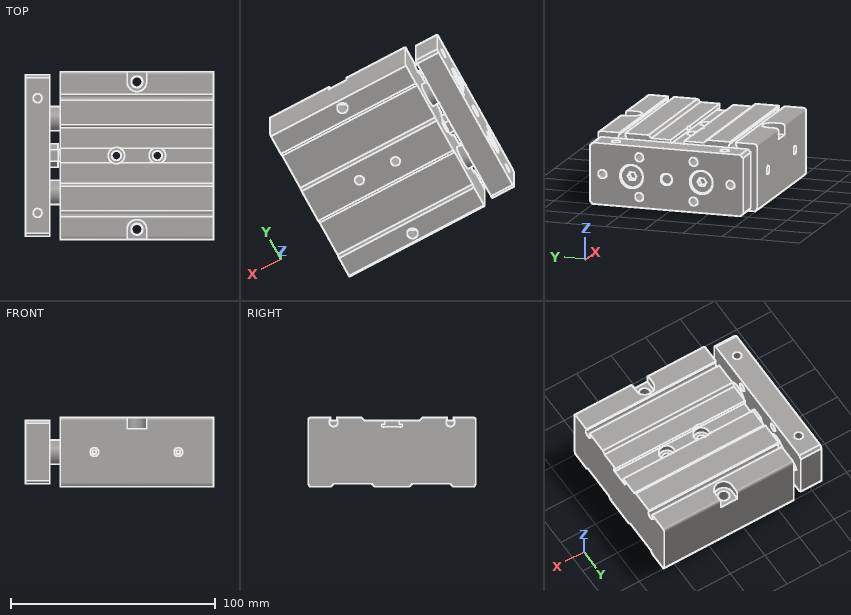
import cadquery as cq
import math


EXTRA = 1.0

plate_thickness = 12.0
gap = 5.0
housing_length = 75.0
housing_front = plate_thickness + gap
housing_middle = housing_front + housing_length / 2

housing_width = 82.0
housing_height = 34.0
half_width = housing_width / 2
top = housing_height / 2
bottom = -top
top_edge_radius = 1.5
bottom_edge_radius = 3.0
bottom_edge_rise = 2.2
relief_depth = 1.5
top_channel_half = 13.5
bottom_channel_inner = 10.0
bottom_channel_outer = 28.4

t_groove_opening = 7.0
t_groove_width = 10.0
t_groove_lip = 2.0
t_groove_depth = 3.2
channel_floor = top - relief_depth
lip_underside = channel_floor - t_groove_lip
groove_floor = channel_floor - t_groove_depth
sensor_slot_y = 28.5
sensor_slot_opening = 3.0
sensor_slot_diameter = 4.2
sensor_slot_lip = 1.0

centre_hole_offset = 10.0
centre_hole_diameter = 4.5
centre_bore_diameter = 8.0
centre_bore_depth = 4.0
mount_y = 36.0
mount_pocket_width = 9.5
mount_pocket_depth = 5.5
mount_hole_diameter = 5.2
mount_clearance_diameter = 5.7
port_first_x = 16.75
port_spacing = 41.0
port_count = 2
port_diameter = 4.2
port_depth = 6.0
port_feed_diameter = 2.0
port_feed_depth = 9.0

plate_width = 79.0
plate_height = 31.0
plate_chamfer = 1.5
plate_hole_diameter = 4.3
face_hole_points = [(y, z) for y in (-14.0, 14.0) for z in (-10.0, 10.0)] + [(-33.0, 0.0), (33.0, 0.0)]
top_hole_y = 28.0
top_hole_depth = 10.0

guide_rod_y = 18.0
guide_rod_diameter = 12.0
guide_recess_floor = 11.0
piston_rod_diameter = 6.0
piston_recess_floor = 5.2
recess_depth = 0.7
socket_flats = 4.0
socket_depth = 4.0
nut_flats = 10.0
nut_height = 4.0


def across_corners(flats):
    """Corner-to-corner size of a regular hexagon."""
    return flats / math.cos(math.pi / 6)


def yz_plane(x):
    """Sketch plane facing +X, with local axes along Y and Z."""
    return cq.Workplane("YZ", origin=(x, 0, 0))


def box_between(x_range, y_range, z_range):
    """Axis-aligned box given by its limits."""
    sizes = [high - low for low, high in (x_range, y_range, z_range)]
    corner = (x_range[0], y_range[0], z_range[0])
    return cq.Workplane("XY").box(*sizes, centered=False).translate(corner)


def vertical_cylinder(x, y, diameter, low, high):
    """Cylinder along Z between two heights."""
    return cq.Workplane("XY", origin=(x, y, low)).circle(diameter / 2).extrude(high - low)


def housing_blank():
    """Block with rounded top edges and part-round bottom edges."""
    def bottom_arc_inset(height):
        return bottom_edge_radius - math.sqrt(bottom_edge_radius**2 - height**2)

    arc_start = bottom + bottom_edge_rise
    foot = half_width - bottom_arc_inset(bottom_edge_rise)
    middle_inset = bottom_arc_inset(bottom_edge_rise / 2)
    arc_middle = (half_width - middle_inset, bottom + bottom_edge_rise / 2)
    shoulder = half_width - top_edge_radius
    top_arc_start = top - top_edge_radius
    half_section = (
        yz_plane(housing_front)
        .moveTo(0, bottom)
        .lineTo(foot, bottom)
        .threePointArc(arc_middle, (half_width, arc_start))
        .lineTo(half_width, top_arc_start)
        .radiusArc((shoulder, top), -top_edge_radius)
        .lineTo(0, top)
        .close()
        .extrude(housing_length)
    )
    return half_section.union(half_section.mirror("XZ"))


def channel(floor_left, floor_right, floor_z, open_z):
    """Shallow channel along X whose walls spread at 45 degrees toward the open face."""
    spread = abs(open_z - floor_z)
    outline = [
        (floor_left, floor_z),
        (floor_right, floor_z),
        (floor_right + spread, open_z),
        (floor_left - spread, open_z),
    ]
    return yz_plane(housing_front).polyline(outline).close().extrude(housing_length)


def t_groove():
    """Centre groove along X, wider below its lips."""
    length = (housing_front, housing_front + housing_length)
    opening = box_between(length, (-t_groove_opening / 2, t_groove_opening / 2), (groove_floor, top))
    undercut = box_between(length, (-t_groove_width / 2, t_groove_width / 2), (groove_floor, lip_underside))
    return opening.union(undercut)


def sensor_slot(y):
    """Round slot along X, reached through a narrower opening in the top face."""
    radius = sensor_slot_diameter / 2
    centre_z = top - sensor_slot_lip - math.sqrt(radius**2 - (sensor_slot_opening / 2) ** 2)
    round_slot = yz_plane(housing_front).center(y, centre_z).circle(radius).extrude(housing_length)
    opening = box_between(
        (housing_front, housing_front + housing_length),
        (y - sensor_slot_opening / 2, y + sensor_slot_opening / 2),
        (centre_z, top + EXTRA),
    )
    return round_slot.union(opening)


def mount_cut(side):
    """Side-opening pocket with a stepped through hole; side is +1 or -1 along Y."""
    y = side * mount_y
    floor = top - mount_pocket_depth
    half_pocket = mount_pocket_width / 2
    round_end = vertical_cylinder(housing_middle, y, mount_pocket_width, floor, top + EXTRA)
    mouth = box_between(
        (housing_middle - half_pocket, housing_middle + half_pocket),
        sorted((y, side * (half_width + EXTRA))),
        (floor, top + EXTRA),
    )
    hole = vertical_cylinder(housing_middle, y, mount_hole_diameter, bottom - EXTRA, top)
    clearance = vertical_cylinder(housing_middle, y, mount_clearance_diameter, 0, top)
    return round_end.union(mouth).union(hole).union(clearance)


def centre_hole(x, bore_top):
    """Through hole with a counterbore that starts at bore_top."""
    hole = vertical_cylinder(x, 0, centre_hole_diameter, bottom - EXTRA, top)
    bore = vertical_cylinder(x, 0, centre_bore_diameter, groove_floor - centre_bore_depth, bore_top)
    return hole.union(bore)


def port(x):
    """Air port in the -Y side with a small feed hole at its floor."""
    face = cq.Workplane("XZ", origin=(x, -half_width, 0))
    entry = face.circle(port_diameter / 2).extrude(-port_depth)
    feed = face.circle(port_feed_diameter / 2).extrude(-port_feed_depth)
    return entry.union(feed)


def make_housing():
    body = housing_blank()

    body = body.cut(channel(-top_channel_half, top_channel_half, channel_floor, top))
    for floor_left, floor_right in (
        (-bottom_channel_outer, -bottom_channel_inner),
        (bottom_channel_inner, bottom_channel_outer),
    ):
        body = body.cut(channel(floor_left, floor_right, bottom + relief_depth, bottom))

    body = body.cut(t_groove())
    for side in (-1, 1):
        body = body.cut(sensor_slot(side * sensor_slot_y))
        body = body.cut(mount_cut(side))

    body = body.cut(centre_hole(housing_middle - centre_hole_offset, top))
    body = body.cut(centre_hole(housing_middle + centre_hole_offset, groove_floor))

    for index in range(port_count):
        body = body.cut(port(housing_front + port_first_x + index * port_spacing))
    return body


def end_recess(y, diameter, floor_diameter):
    """Shallow conical recess in the plate front, centred on a rod."""
    face = yz_plane(0).center(y, 0).circle(diameter / 2)
    return face.workplane(offset=recess_depth).circle(floor_diameter / 2).loft()


def make_moving_part():
    plate = box_between(
        (0, plate_thickness),
        (-plate_width / 2, plate_width / 2),
        (-plate_height / 2, plate_height / 2),
    )
    plate = plate.edges("|X").chamfer(plate_chamfer)

    face_holes = yz_plane(0).pushPoints(face_hole_points)
    plate = plate.cut(face_holes.circle(plate_hole_diameter / 2).extrude(plate_thickness))
    plate_top = plate_height / 2
    for y in (-top_hole_y, top_hole_y):
        hole_floor = plate_top - top_hole_depth
        plate = plate.cut(vertical_cylinder(plate_thickness / 2, y, plate_hole_diameter, hole_floor, plate_top))

    rods = (
        (-guide_rod_y, guide_rod_diameter, guide_recess_floor),
        (guide_rod_y, guide_rod_diameter, guide_recess_floor),
        (0, piston_rod_diameter, piston_recess_floor),
    )
    for y, diameter, recess_floor in rods:
        rod = yz_plane(plate_thickness).center(y, 0).circle(diameter / 2).extrude(gap)
        plate = plate.union(rod).cut(end_recess(y, diameter, recess_floor))

    for y in (-guide_rod_y, guide_rod_y):
        socket = yz_plane(0).center(y, 0).polygon(6, across_corners(socket_flats)).extrude(socket_depth)
        plate = plate.cut(socket)

    nut = yz_plane(plate_thickness).polygon(6, across_corners(nut_flats)).extrude(nut_height)
    return plate.union(nut)


housing = make_housing()
moving_part = make_moving_part()

result = cq.Compound.makeCompound([housing.val(), moving_part.val()])